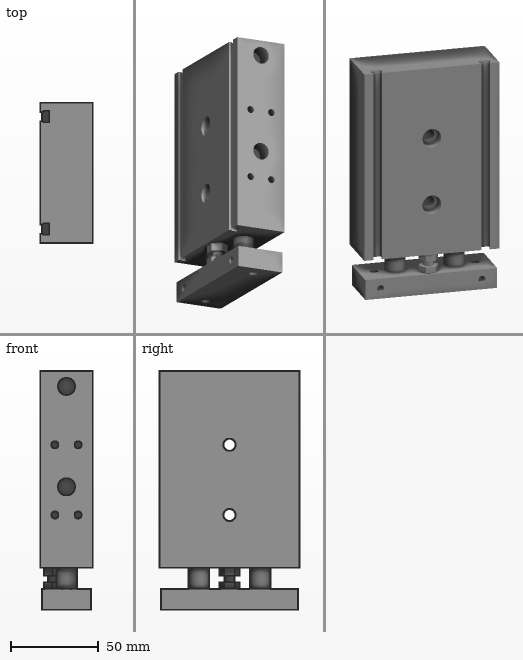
import cadquery as cq
import math

TOTAL_HEIGHT = 136.0
HOUSING_THICKNESS = 30.0
HOUSING_WIDTH = 80.0

PLATE_THICKNESS = 28.0
PLATE_WIDTH = 78.0
PLATE_HEIGHT = 12.0
PLATE_GAP = 12.0
ROD_DIAMETER = 12.0
ROD_SPACING = 35.0
PLATE_HOLE_SPACING = 60.0
PLATE_BOLT_DIAMETER = 5.0
PLATE_SIDE_HOLE_DIAMETER = 4.1
PLATE_SIDE_HOLE_DEPTH = 8.2

SLOT_SPACING = 64.0
SLOT_MOUTH_WIDTH = 5.2
SLOT_MOUTH_DEPTH = 1.4
SLOT_SHOULDER_DEPTH = 2.0
SLOT_POCKET_WIDTH = 6.5
SLOT_DEPTH = 5.2

MOUNT_HEIGHT = 30.0
MOUNT_SPACING = 40.0
MOUNT_DIAMETER = 6.8
COUNTERBORE_DIAMETER = 11.0
COUNTERBORE_DEPTH = 6.4

PORT_DIAMETER = 9.8
PORT_DEPTH = 10.9
LOWER_PORT_HEIGHT = 46.1
UPPER_PORT_HEIGHT = 103.2
SIDE_HOLE_DIAMETER = 4.1
SIDE_HOLE_DEPTH = 8.2
SIDE_HOLE_SPACING = 13.2

BOLT_OFFSET = -7.8
HEX_ACROSS_CORNERS = 11.7
SHANK_DIAMETER = 6.0
HEAD_HEIGHT = 4.6
NUT_HEIGHT = 3.8
NUT_CHAMFER_WIDTH = 1.1
NUT_CHAMFER_HEIGHT = 0.7

HOUSING_BOTTOM = PLATE_HEIGHT + PLATE_GAP
HOUSING_HEIGHT = TOTAL_HEIGHT - HOUSING_BOTTOM
HOUSING_FACE_X = -HOUSING_THICKNESS / 2
HOUSING_SIDE_Y = -HOUSING_WIDTH / 2
MOUNT_LEVELS = [HOUSING_BOTTOM + MOUNT_HEIGHT + row * MOUNT_SPACING for row in range(2)]


def box_on(bottom, thickness, width, height):
    """Box centred on the Z axis, standing on the given level."""
    return cq.Workplane("XY", origin=(0, 0, bottom)).rect(thickness, width).extrude(height)


def drill(start, direction, diameter, depth):
    """Cylinder to cut away, from a start point along a direction."""
    return cq.Workplane(cq.Solid.makeCylinder(diameter / 2, depth, cq.Vector(*start), cq.Vector(*direction)))


def t_slot(center_y):
    """Full-height T-slot cutter, narrow at the -X face and widening inwards over sloped shoulders."""
    half_mouth = SLOT_MOUTH_WIDTH / 2
    half_pocket = SLOT_POCKET_WIDTH / 2
    outline = [
        (0, -half_mouth),
        (SLOT_MOUTH_DEPTH, -half_mouth),
        (SLOT_SHOULDER_DEPTH, -half_pocket),
        (SLOT_DEPTH, -half_pocket),
        (SLOT_DEPTH, half_pocket),
        (SLOT_SHOULDER_DEPTH, half_pocket),
        (SLOT_MOUTH_DEPTH, half_mouth),
        (0, half_mouth),
    ]
    start = (HOUSING_FACE_X, center_y, HOUSING_BOTTOM)
    return cq.Workplane("XY", origin=start).polyline(outline).close().extrude(HOUSING_HEIGHT)


def make_housing():
    body = box_on(HOUSING_BOTTOM, HOUSING_THICKNESS, HOUSING_WIDTH, HOUSING_HEIGHT)
    for side in (-1, 1):
        body = body.cut(t_slot(side * SLOT_SPACING / 2))

    for level in MOUNT_LEVELS:
        mouth = (HOUSING_FACE_X, 0, level)
        body = body.cut(drill(mouth, (1, 0, 0), MOUNT_DIAMETER, HOUSING_THICKNESS))
        body = body.cut(drill(mouth, (1, 0, 0), COUNTERBORE_DIAMETER, COUNTERBORE_DEPTH))
        for side in (-1, 1):
            mouth = (side * SIDE_HOLE_SPACING / 2, HOUSING_SIDE_Y, level)
            body = body.cut(drill(mouth, (0, 1, 0), SIDE_HOLE_DIAMETER, SIDE_HOLE_DEPTH))

    for height in (LOWER_PORT_HEIGHT, UPPER_PORT_HEIGHT):
        mouth = (0, HOUSING_SIDE_Y, HOUSING_BOTTOM + height)
        body = body.cut(drill(mouth, (0, 1, 0), PORT_DIAMETER, PORT_DEPTH))
    return body


def make_tool_plate():
    """Tool plate with its two guide rods, which end at the housing."""
    plate = box_on(0, PLATE_THICKNESS, PLATE_WIDTH, PLATE_HEIGHT)
    for side in (-1, 1):
        hole_y = side * PLATE_HOLE_SPACING / 2
        side_mouth = (-PLATE_THICKNESS / 2, hole_y, PLATE_HEIGHT / 2)
        plate = plate.cut(drill((0, hole_y, 0), (0, 0, 1), PLATE_BOLT_DIAMETER, PLATE_HEIGHT))
        plate = plate.cut(drill(side_mouth, (1, 0, 0), PLATE_SIDE_HOLE_DIAMETER, PLATE_SIDE_HOLE_DEPTH))

        rod = cq.Workplane("XY", origin=(0, side * ROD_SPACING / 2, PLATE_HEIGHT))
        plate = plate.union(rod.circle(ROD_DIAMETER / 2).extrude(PLATE_GAP))
    return plate


def hexagon(bottom, height):
    """Hexagonal prism on the bolt axis with two corners along Y."""
    base = cq.Workplane("XY", origin=(BOLT_OFFSET, 0, bottom))
    corners = [
        (
            HEX_ACROSS_CORNERS / 2 * math.sin(math.radians(60 * corner)),
            HEX_ACROSS_CORNERS / 2 * math.cos(math.radians(60 * corner)),
        )
        for corner in range(6)
    ]
    return base.polyline(corners).close().extrude(height)


def make_stop_bolt():
    """Hex head under the housing, shank and lock nut on the tool plate, as one solid."""
    radius = HEX_ACROSS_CORNERS / 2
    nut_envelope = (
        cq.Workplane("XZ", origin=(BOLT_OFFSET, 0, PLATE_HEIGHT))
        .moveTo(0, 0)
        .lineTo(radius - NUT_CHAMFER_WIDTH, 0)
        .lineTo(radius, NUT_CHAMFER_HEIGHT)
        .lineTo(radius, NUT_HEIGHT)
        .lineTo(0, NUT_HEIGHT)
        .close()
        .revolve(360, (0, 0, 0), (0, 1, 0))
    )
    nut = hexagon(PLATE_HEIGHT, NUT_HEIGHT).intersect(nut_envelope)
    shank = drill((BOLT_OFFSET, 0, PLATE_HEIGHT), (0, 0, 1), SHANK_DIAMETER, PLATE_GAP)
    head = hexagon(HOUSING_BOTTOM - HEAD_HEIGHT, HEAD_HEIGHT)
    return nut.union(shank).union(head)


housing = make_housing()
tool_plate = make_tool_plate()
stop_bolt = make_stop_bolt()

result = cq.Compound.makeCompound([housing.val(), tool_plate.val(), stop_bolt.val()])